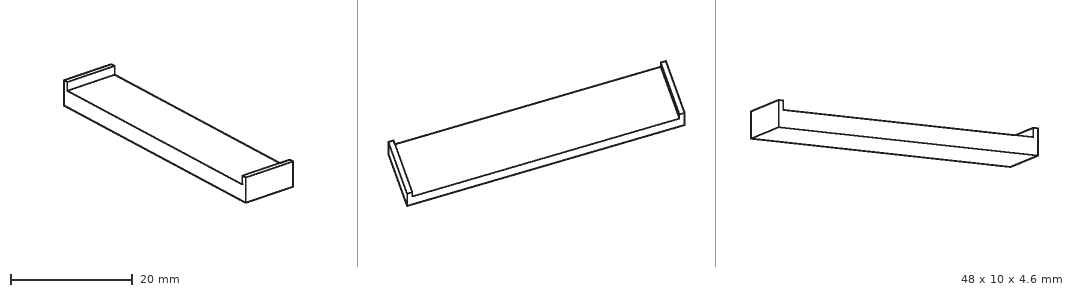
import cadquery as cq

length = 48.0
width = 10.0
height = 4.6

lip_thickness = 0.9
lip_height = 1.6

base_thickness = height - lip_height
lip_offset = (length - lip_thickness) / 2

base = cq.Workplane("XY").box(length, width, base_thickness, centered=(True, True, False))

lips = (
    cq.Workplane("XY")
    .workplane(offset=base_thickness)
    .pushPoints([(-lip_offset, 0), (lip_offset, 0)])
    .rect(lip_thickness, width)
    .extrude(lip_height)
)

result = base.union(lips, clean=True)